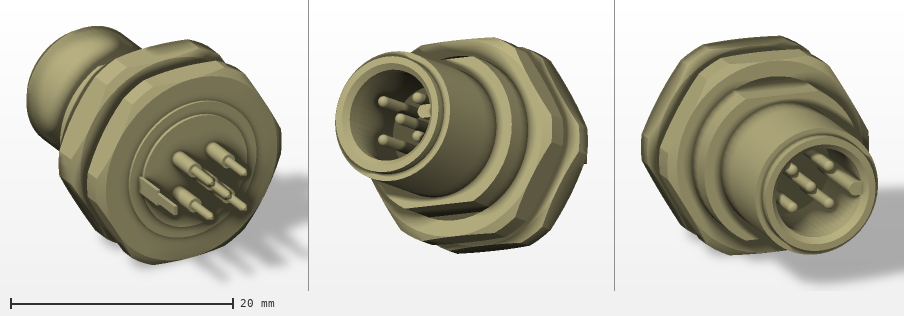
import cadquery as cq
import math

nose_end = 1.0
shell_end = 9.51
collar_end = 12.5
front_nut_end = 15.5
rear_nut_start = 17.5
rear_nut_end = 20.0
sleeve_end = 20.3
insert_end = 20.65
thick_pin_end = 23.5
total_length = 26.5

nose_radius = 5.3
shell_radius = 5.94
collar_radius = 7.53
collar_flat_height = 6.65
flat_recess_depth = (front_nut_end - collar_end) / 2
sleeve_radius = 6.65
insert_radius = 5.45

across_flats = 18.0
nut_corner_radius = 9.75
nut_chamfer_length = 0.48

ring_outer_radius = 7.68
ring_tube_radius = (rear_nut_start - front_nut_end) / 2

bore_radius = 4.15
mouth_radius = 4.66
mouth_chamfer_length = 0.53
bore_depth = 8.48
key_tip_radius = 0.6
key_inner_reach = 2.92
key_start = 0.42

pin_circle_radius = 2.5
contact_radius = 0.5
contact_start = 2.0
thick_pin_radius = 0.7
thin_pin_radius = 0.4
pin_tip_chamfer = 0.25
pin_tip_length = 0.4

tab_center_y = -5.56
tab_thickness = 0.32
tab_wide = 1.5
tab_narrow = 0.9


def cylinder(start, end, radius, y=0.0, z=0.0):
    """Round bar along X between two stations."""
    axis_start = cq.Vector(start, y, z)
    return cq.Workplane(cq.Solid.makeCylinder(radius, end - start, axis_start, cq.Vector(1, 0, 0)))


def box(start, end, center_y, width_y, width_z):
    """Block along X between two stations, centred on Z."""
    center = ((start + end) / 2, center_y, 0)
    return cq.Workplane("XY").box(end - start, width_y, width_z).translate(center)


def make_collar(end):
    """Round collar with flats on top and bottom, ending at the given station."""
    flats = box(shell_end, end, 0, 2 * collar_radius, 2 * collar_flat_height)
    return cylinder(shell_end, end, collar_radius).intersect(flats)


def make_body():
    """Stepped shell, collar with two flats, sleeve and rear insert."""
    return (
        cylinder(0, nose_end, nose_radius)
        .union(cylinder(nose_end, shell_end, shell_radius))
        .union(make_collar(collar_end))
        .union(cylinder(collar_end, sleeve_end, sleeve_radius))
        .union(cylinder(sleeve_end, insert_end, insert_radius))
    )


def make_nut(start, end):
    """Hexagon nut with flats on top and bottom and conical chamfers on both faces."""
    hexagon = (
        cq.Workplane("YZ", origin=(start, 0, 0))
        .polygon(6, across_flats / math.cos(math.pi / 6))
        .extrude(end - start)
    )
    face_radius = across_flats / 2
    envelope = (
        cylinder(start, end, nut_corner_radius)
        .faces("<X or >X")
        .chamfer(nut_chamfer_length, nut_corner_radius - face_radius)
    )
    return hexagon.intersect(envelope)


def make_front_nut():
    """Nut with two blind segment-shaped gaps where the collar flats run into its bore."""
    recess_end = collar_end + flat_recess_depth
    gaps = cylinder(collar_end, recess_end, collar_radius).cut(make_collar(recess_end))
    return make_nut(collar_end, front_nut_end).cut(gaps)


def make_ring():
    """O-ring seated on the sleeve between the nuts."""
    ring_center = cq.Vector((front_nut_end + rear_nut_start) / 2, 0, 0)
    center_radius = ring_outer_radius - ring_tube_radius
    return cq.Workplane(
        cq.Solid.makeTorus(center_radius, ring_tube_radius, ring_center, cq.Vector(1, 0, 0))
    )


def make_socket():
    """Blind bore with a conical mouth."""
    return (
        cq.Workplane("XY")
        .lineTo(0, mouth_radius)
        .lineTo(mouth_chamfer_length, bore_radius)
        .lineTo(bore_depth, bore_radius)
        .lineTo(bore_depth, 0)
        .close()
        .revolve(360, (0, 0, 0), (1, 0, 0))
    )


def make_key():
    """Coding key on the -Y side of the bore, rounded toward the axis."""
    round_center_y = -(key_inner_reach + key_tip_radius)
    wall_y = -(bore_radius + mouth_radius) / 2
    web = box(
        key_start,
        bore_depth,
        (round_center_y + wall_y) / 2,
        round_center_y - wall_y,
        2 * key_tip_radius,
    )
    return cylinder(key_start, bore_depth, key_tip_radius, round_center_y).union(web)


def make_pin(y, z):
    """Pin with a domed contact in the socket and a stepped solder end."""
    dome_center = contact_start + contact_radius
    dome = cq.Workplane("XY").sphere(contact_radius).translate((dome_center, y, z))
    contact = cylinder(dome_center, bore_depth, contact_radius, y, z).union(dome)
    thick_end = cylinder(bore_depth, thick_pin_end, thick_pin_radius, y, z)
    thin_end = (
        cylinder(thick_pin_end, total_length, thin_pin_radius, y, z)
        .faces(">X")
        .chamfer(pin_tip_length, pin_tip_chamfer)
    )
    return contact.union(thick_end).union(thin_end)


def make_tab():
    """Flat ground tab that narrows to its solder tip."""
    wide_part = box(sleeve_end, thick_pin_end, tab_center_y, tab_thickness, tab_wide)
    narrow_part = box(thick_pin_end, total_length, tab_center_y, tab_thickness, tab_narrow)
    return wide_part.union(narrow_part)


result = make_body().cut(make_socket()).union(make_key())
result = result.union(make_ring())
result = result.union(make_front_nut())
result = result.union(make_nut(rear_nut_start, rear_nut_end))
result = result.union(make_tab())

pin_offset = pin_circle_radius / math.sqrt(2)
pin_places = [(0, 0)]
for side_y in (-1, 1):
    for side_z in (-1, 1):
        pin_places.append((side_y * pin_offset, side_z * pin_offset))
for pin_y, pin_z in pin_places:
    result = result.union(make_pin(pin_y, pin_z))